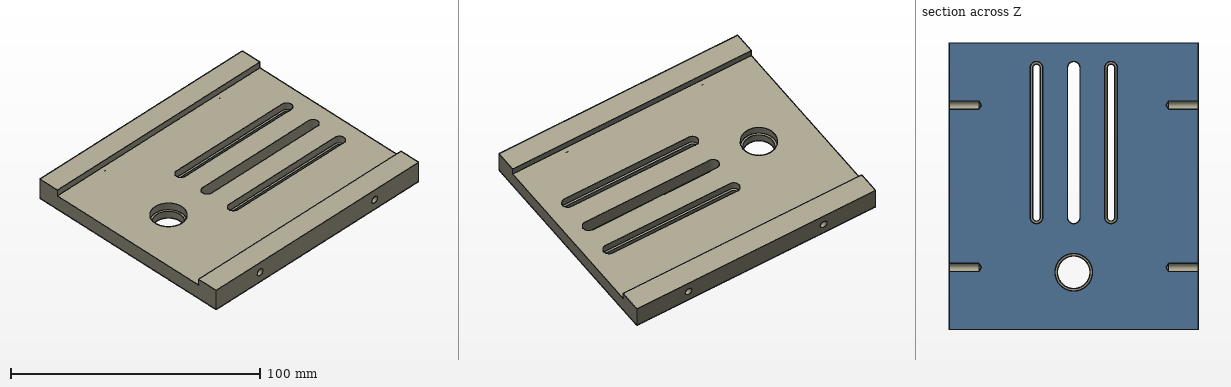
import cadquery as cq
import math

width = 100.0
length = 115.0
height = 10.0
rail_width = 10.0
channel_depth = 3.0
floor_z = height - channel_depth

slot_width = 5.0
slot_length = 65.0
slot_spacing = 15.0
slot_end_margin = 7.5
slot_center_y = length / 2 - slot_end_margin - slot_length / 2
slot_ledge = 1.0
slot_step_depth = 3.5

bore_diameter = 13.0
counterbore_diameter = 15.0
counterbore_depth = 3.5
bore_center_y = 23.0 - length / 2

side_hole_diameter = 3.2
side_hole_depth = 12.0
side_hole_end_margin = 25.0
side_hole_y = length / 2 - side_hole_end_margin
drill_point_angle = 118.0


def slot_cut(x, inset, depth):
    """Rounded slot sunk from the channel floor, narrowed all round by inset."""
    return (
        cq.Workplane("XY", origin=(x, slot_center_y, floor_z))
        .slot2D(slot_length - 2 * inset, slot_width - 2 * inset, 90)
        .extrude(-depth)
    )


def round_cut(diameter, depth):
    """Round hole sunk from the channel floor."""
    return (
        cq.Workplane("XY", origin=(0, bore_center_y, floor_z))
        .circle(diameter / 2)
        .extrude(-depth)
    )


def side_hole(side, y):
    """Blind hole with a conical end, drilled inward from the given side."""
    radius = side_hole_diameter / 2
    point_depth = radius / math.tan(math.radians(drill_point_angle / 2))
    face_x = side * width / 2
    shoulder_x = face_x - side * side_hole_depth
    tip_x = shoulder_x - side * point_depth
    return (
        cq.Workplane("XY", origin=(0, y, height / 2))
        .moveTo(face_x, 0)
        .lineTo(face_x, radius)
        .lineTo(shoulder_x, radius)
        .lineTo(tip_x, 0)
        .close()
        .revolve(360, (0, 0, 0), (1, 0, 0))
    )


result = cq.Workplane("XY").box(width, length, height, centered=(True, True, False))
channel = (
    cq.Workplane("XY", origin=(0, 0, floor_z))
    .box(width - 2 * rail_width, length, channel_depth, centered=(True, True, False))
)
result = result.cut(channel)

result = result.cut(slot_cut(0, 0, floor_z))
for slot_x in (-slot_spacing, slot_spacing):
    result = result.cut(slot_cut(slot_x, 0, slot_step_depth))
    result = result.cut(slot_cut(slot_x, slot_ledge, floor_z))

result = result.cut(round_cut(bore_diameter, floor_z))
result = result.cut(round_cut(counterbore_diameter, counterbore_depth))

for side in (-1, 1):
    for hole_y in (-side_hole_y, side_hole_y):
        result = result.cut(side_hole(side, hole_y))